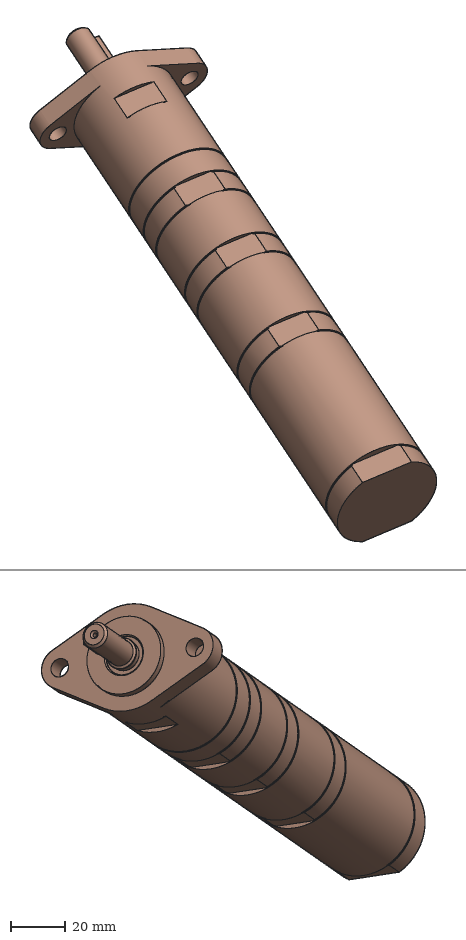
import cadquery as cq
import math

LENGTH = 244.3
BODY_DIA = 41.5

SHAFT_DIA = 10.0
SHAFT_TIP_CHAMFER = 1.0
CENTRE_HOLE_DIA = 1.6
CENTRE_MOUTH_DIA = 3.2
CENTRE_HOLE_DEPTH = 5.0

KEY_START = 5.0
KEY_LENGTH = 12.5
KEY_WIDTH = 3.0
KEY_TOP = 6.5

LIP_START = 23.2
LIP_END = 24.2
LIP_DIA = 12.0
LIP_BEVEL_LENGTH = 0.5
COLLAR_DIA = 11.5
RECESS_DIA = 15.0
RECESS_DEPTH = 1.0
RECESS_MOUTH_DIA = 16.0

PILOT_START = 26.0
PILOT_DIA = 30.0
FLANGE_START = 28.8
FLANGE_END = 37.0
FLANGE_WIDTH = 69.9
EAR_RADIUS = 8.0
BOLT_HOLE_DIA = 7.0
BOLT_SPACING = 55.0

FLAT_HEIGHT = 38.0
FLAT_LENGTH = 10.3
FRONT_FLAT_START = 45.0
JOINT_FLAT_STARTS = (91.4, 123.9, 165.1)
END_FLAT_HEIGHT = 36.2
END_FLAT_START = 235.0

GROOVE_DIA = 41.0
GROOVE_WIDTH = 0.5
FRONT_GROOVE_START = 80.0


def cylinder(start, end, diameter):
    return cq.Workplane("YZ").workplane(offset=start).circle(diameter / 2).extrude(end - start)


def cone(start, end, start_dia, end_dia):
    profile = [(start, 0), (start, start_dia / 2), (end, end_dia / 2), (end, 0)]
    return cq.Workplane("XY").polyline(profile).close().revolve(360, (0, 0, 0), (1, 0, 0))


def ring(start, end, outer_dia, inner_dia):
    return cylinder(start, end, outer_dia).cut(cylinder(start, end, inner_dia))


def make_flange():
    """Plate whose straight flanks are tangent to the body and to both rounded ears.

    Between the flanks the outline follows chords inside the body, which supplies the rounding.
    """
    body_radius = BODY_DIA / 2
    ear_centre = FLANGE_WIDTH / 2 - EAR_RADIUS
    tangent_cos = (body_radius - EAR_RADIUS) / ear_centre
    tangent_sin = math.sqrt(1 - tangent_cos**2)
    body_y = body_radius * tangent_cos
    body_z = body_radius * tangent_sin
    ear_y = ear_centre + EAR_RADIUS * tangent_cos
    ear_z = EAR_RADIUS * tangent_sin
    return (
        cq.Workplane("YZ")
        .workplane(offset=FLANGE_START)
        .moveTo(-body_y, body_z)
        .lineTo(body_y, body_z)
        .lineTo(ear_y, ear_z)
        .threePointArc((FLANGE_WIDTH / 2, 0), (ear_y, -ear_z))
        .lineTo(body_y, -body_z)
        .lineTo(-body_y, -body_z)
        .lineTo(-ear_y, -ear_z)
        .threePointArc((-FLANGE_WIDTH / 2, 0), (-ear_y, ear_z))
        .close()
        .extrude(FLANGE_END - FLANGE_START)
        .faces("<X")
        .workplane(origin=(FLANGE_START, 0, 0))
        .pushPoints([(-BOLT_SPACING / 2, 0), (BOLT_SPACING / 2, 0)])
        .hole(BOLT_HOLE_DIA)
    )


def cut_groove(body, start):
    return body.cut(ring(start, start + GROOVE_WIDTH, BODY_DIA, GROOVE_DIA))


def make_body():
    body = cylinder(FLANGE_START, LENGTH, BODY_DIA)
    body = cut_groove(body, FRONT_GROOVE_START)
    body = body.cut(flat_pair(FRONT_FLAT_START, FRONT_FLAT_START + FLAT_LENGTH, FLAT_HEIGHT))
    for start in JOINT_FLAT_STARTS:
        end = start + FLAT_LENGTH
        body = body.cut(flat_pair(start, end, FLAT_HEIGHT))
        body = cut_groove(body, start)
        body = cut_groove(body, end - GROOVE_WIDTH)
    body = body.cut(flat_pair(END_FLAT_START, LENGTH, END_FLAT_HEIGHT))
    return cut_groove(body, END_FLAT_START)


def flat_pair(start, end, height):
    """Material outside two planes a given height apart, above and below the axis."""
    length = end - start
    middle = (start + end) / 2
    block = cq.Workplane("XY").box(length, BODY_DIA, BODY_DIA)
    core = cq.Workplane("XY").box(length, BODY_DIA, height)
    return block.cut(core).translate((middle, 0, 0))


def make_pilot():
    pilot = cylinder(PILOT_START, FLANGE_START, PILOT_DIA)
    recess = cylinder(PILOT_START, PILOT_START + RECESS_DEPTH, RECESS_DIA)
    mouth_depth = (RECESS_MOUTH_DIA - RECESS_DIA) / 2
    mouth = cone(PILOT_START, PILOT_START + mouth_depth, RECESS_MOUTH_DIA, RECESS_DIA)
    return pilot.cut(recess).cut(mouth)


def make_shaft():
    shaft = cylinder(0, FLANGE_START, SHAFT_DIA).faces("<X").chamfer(SHAFT_TIP_CHAMFER)
    hole_mouth_depth = (CENTRE_MOUTH_DIA - CENTRE_HOLE_DIA) / 2
    centre_hole = cylinder(0, CENTRE_HOLE_DEPTH, CENTRE_HOLE_DIA)
    hole_mouth = cone(0, hole_mouth_depth, CENTRE_MOUTH_DIA, CENTRE_HOLE_DIA)
    return shaft.cut(centre_hole).cut(hole_mouth)


def make_key():
    key = cq.Workplane("XY").box(KEY_LENGTH, KEY_TOP, KEY_WIDTH, centered=(False, False, True))
    return key.translate((KEY_START, 0, 0)).cut(cylinder(0, LIP_START, SHAFT_DIA))


def make_collar():
    bevel_end = LIP_START + LIP_BEVEL_LENGTH
    bevel = cone(LIP_START, bevel_end, SHAFT_DIA, LIP_DIA)
    lip = cylinder(bevel_end, LIP_END, LIP_DIA)
    neck = cylinder(LIP_END, FLANGE_START, COLLAR_DIA)
    return bevel.union(lip).union(neck)


result = (
    make_body()
    .union(make_flange())
    .union(make_pilot())
    .union(make_shaft())
    .union(make_key())
    .union(make_collar())
)